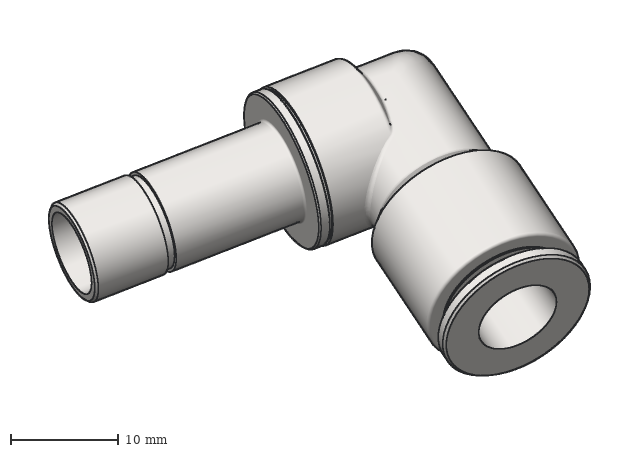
import cadquery as cq
import math


neck_radius = 6.5
bore_radius = 4.05
corner_share = 0.53

body_radius = 8.0
body_cone_start = 9.9
body_cone_end = 11.55
body_end = 23.0
body_end_fillet = 0.35
body_neck_fillet = 0.5
seal_radius = 6.4
seal_end = 23.15

sleeve_radius = 5.65
sleeve_fillet = 0.25
flange_radius = 7.7
flange_start = 24.6
flange_chamfer = 0.25
run_end = 25.77

collar_radius = 7.93
collar_cone_start = 1.7
collar_cone_angle = 60
collar_cone_rise = collar_radius - neck_radius
collar_cone_end = collar_cone_start + collar_cone_rise / math.tan(math.radians(collar_cone_angle))
shoulder_fillet = 0.4
collar_end = 10.2
collar_groove_radius = 7.68
collar_groove_end = 10.5

ring_radius = 7.85
ring_end = 11.58
ring_chamfer = 0.15

stem_radius = 5.0
stem_base_fillet = 0.25
stem_groove_start = 25.1
stem_groove_end = 25.95
stem_groove_radius = 4.65
stem_end_chamfer = 0.25
total_length = 41.5
stem_end = total_length - body_radius

plan_reach = total_length
position_tolerance = 0.005


def run_cylinder(radius, start, end):
    """Cylinder on the run axis between two X stations."""
    return cq.Workplane("YZ", origin=(start, 0, 0)).circle(radius).extrude(end - start)


def stem_cylinder(radius, start, end):
    """Cylinder on the stem axis between two distances from the origin toward -Y."""
    return cq.Workplane("XZ", origin=(0, -start, 0)).circle(radius).extrude(end - start)


def plan_prism(points):
    """Prism over a plan outline, taller than the part on both sides of Z = 0."""
    return cq.Workplane("XY").polyline(points).close().extrude(plan_reach, both=True)


def mitred_pipe(radius, run_length, stem_length):
    """Solid pipe along both axes, its legs cut off where they meet on the bend diagonal."""
    diagonal = [(-plan_reach, plan_reach), (plan_reach, -plan_reach)]
    run_side = plan_prism(diagonal + [(plan_reach, plan_reach)])
    stem_side = plan_prism(diagonal + [(-plan_reach, -plan_reach)])
    run_leg = run_cylinder(radius, -plan_reach, run_length).intersect(run_side)
    stem_leg = stem_cylinder(radius, -plan_reach, stem_length).intersect(stem_side)
    return run_leg.union(stem_leg)


def make_collar():
    """Collar with a conical shoulder rising from the stem neck."""
    return (
        cq.Workplane("XY")
        .polyline([
            (0, -collar_cone_start),
            (neck_radius, -collar_cone_start),
            (collar_radius, -collar_cone_end),
            (collar_radius, -collar_end),
            (0, -collar_end),
        ])
        .close()
        .revolve(360, (0, 0), (0, 1))
    )


def fillet_shoulder(elbow):
    """Round both rims of the collar shoulder and the crease where the collar meets the run neck."""
    def is_shoulder_edge(edge):
        center = edge.Center()
        is_crease = edge.geomType() == "BSPLINE"
        is_rim = edge.geomType() == "CIRCLE" and any(
            abs(center.y + rim) < position_tolerance for rim in (collar_cone_start, collar_cone_end)
        )
        return is_crease or is_rim

    edges = [edge for edge in elbow.edges().vals() if is_shoulder_edge(edge)]
    return elbow.newObject(edges).fillet(shoulder_fillet)


def round_outer_corner(elbow):
    """Swap the sharp outer corner for an ellipsoid wedge tangent to both necks."""
    seam = plan_reach * corner_share
    corner = [(0, 0), (-plan_reach, seam), (-plan_reach, plan_reach), (-seam, plan_reach)]

    lune_angle = math.degrees(math.acos(corner_share))
    lune = (
        cq.Workplane("XZ")
        .moveTo(0, -neck_radius)
        .threePointArc((-neck_radius, 0), (0, neck_radius))
        .close()
        .revolve(lune_angle, (0, 0.4), (0, 0))
    )
    shear = cq.Matrix([
        [1, 0, 0, 0],
        [-corner_share, math.sqrt(1 - corner_share**2), 0, 0],
        [0, 0, 1, 0],
    ])
    wedge = cq.Workplane(obj=lune.val().transformGeometry(shear))
    return elbow.cut(plan_prism(corner)).union(wedge)


def make_socket():
    """Socket body with its cone, seal lip, sleeve and release ring, turned about the run axis."""
    body = (
        cq.Workplane("XY")
        .polyline([
            (body_cone_start, 0),
            (body_cone_start, neck_radius),
            (body_cone_end, body_radius),
            (body_end, body_radius),
            (body_end, 0),
        ])
        .close()
        .revolve(360, (0, 0), (1, 0))
        .faces(">X")
        .edges()
        .fillet(body_end_fillet)
    )
    seal = run_cylinder(seal_radius, body_cone_end, seal_end)
    sleeve = run_cylinder(sleeve_radius, body_cone_end, run_end)
    flange = run_cylinder(flange_radius, flange_start, run_end).faces(">X").chamfer(flange_chamfer)
    ring = sleeve.union(flange)
    sleeve_root = [
        edge for edge in ring.edges("%CIRCLE").vals()
        if abs(edge.Center().x - flange_start) < position_tolerance
        and abs(edge.radius() - sleeve_radius) < position_tolerance
    ]
    ring = ring.newObject(sleeve_root).fillet(sleeve_fillet)
    return body.union(seal).union(ring)


def fillet_body_neck(part):
    """Round the inner rim where the run neck meets the body cone."""
    rim = [
        edge for edge in part.edges("%CIRCLE").vals()
        if abs(edge.Center().x - body_cone_start) < position_tolerance
    ]
    return part.newObject(rim).fillet(body_neck_fillet)


def make_stem():
    """Retaining ring and plug stem, with a retaining groove and a chamfered tip."""
    groove_floor = stem_cylinder(collar_groove_radius, collar_end, collar_groove_end)
    ring = stem_cylinder(ring_radius, collar_groove_end, ring_end).faces("<Y").chamfer(ring_chamfer)
    tube = stem_cylinder(stem_radius, ring_end, stem_end).faces("<Y").chamfer(stem_end_chamfer)
    groove = stem_cylinder(stem_radius, stem_groove_start, stem_groove_end).cut(
        stem_cylinder(stem_groove_radius, stem_groove_start, stem_groove_end)
    )
    stem = groove_floor.union(ring).union(tube).cut(groove)
    base = [
        edge for edge in stem.edges("%CIRCLE").vals()
        if abs(edge.Center().y + ring_end) < position_tolerance
        and abs(edge.radius() - stem_radius) < position_tolerance
    ]
    return stem.newObject(base).fillet(stem_base_fillet)


necks = mitred_pipe(neck_radius, body_cone_start, collar_end)
passage = mitred_pipe(bore_radius, run_end, stem_end)

elbow = fillet_shoulder(necks.union(make_collar()))
elbow = round_outer_corner(elbow)
elbow = fillet_body_neck(elbow.union(make_socket()))
result = elbow.union(make_stem()).cut(passage)